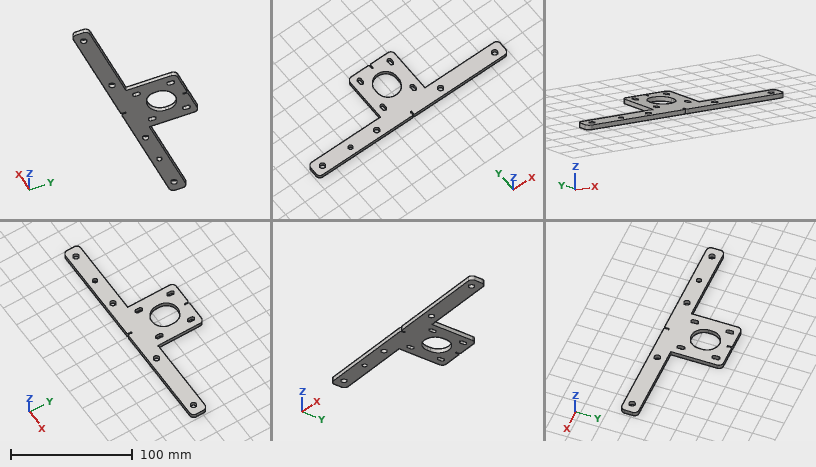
import cadquery as cq

thickness = 4.0
bar_length = 196.0
bar_width = 15.0
plate_depth = 60.0
tab_width = 46.0
corner_radius = 4.0

hole_line_y = 7.0
mount_hole_diameter = 5.1
inner_hole_x = 33.0
outer_hole_x = 89.0
pilot_hole_diameter = 4.1
pilot_hole_x = -60.0

motor_y = 36.5
slide_travel = 3.0
motor_opening_width = 22.0
motor_screw_spacing = 31.0
screw_slot_width = 3.5

notch_width = 1.0
notch_length = 4.0
notch_mouth_radius = 1.0


def make_plate():
    """T-shaped plate with rounded outer corners; the front edge of the bar lies on Y = 0."""
    bar = cq.Workplane("XY").rect(bar_length, bar_width).extrude(thickness)
    bar = bar.translate((0, bar_width / 2, 0)).edges("|Z").fillet(corner_radius)
    tab = cq.Workplane("XY").rect(tab_width, plate_depth).extrude(thickness)
    tab = tab.translate((0, plate_depth / 2, 0)).edges("|Z and >Y").fillet(corner_radius)
    return bar.union(tab)


def cut_bar_holes(plate):
    """Four mounting holes in mirrored pairs and one smaller pilot hole."""
    mount_points = [(side * x, hole_line_y) for side in (-1, 1) for x in (inner_hole_x, outer_hole_x)]
    mount_holes = cq.Workplane("XY").pushPoints(mount_points).circle(mount_hole_diameter / 2)
    pilot_hole = cq.Workplane("XY").center(pilot_hole_x, hole_line_y).circle(pilot_hole_diameter / 2)
    return plate.cut(mount_holes.extrude(thickness)).cut(pilot_hole.extrude(thickness))


def sliding_slot(points, width):
    """Through slots along Y at the given points, as long as a hole of this width plus the travel."""
    slots = cq.Workplane("XY").pushPoints(points).slot2D(width + slide_travel, width, 90)
    return slots.extrude(thickness)


def cut_motor_mount(plate):
    """Central motor opening and the four screw slots around it."""
    offset = motor_screw_spacing / 2
    screw_points = [(x, motor_y + y) for x in (-offset, offset) for y in (-offset, offset)]
    plate = plate.cut(sliding_slot([(0, motor_y)], motor_opening_width))
    return plate.cut(sliding_slot(screw_points, screw_slot_width))


def cut_notch(plate, edge_y):
    """Open-ended notch across the plate edge at edge_y, with rounded mouth corners."""
    notch = cq.Workplane("XY").center(0, edge_y).rect(notch_width, 2 * notch_length).extrude(thickness)
    plate = plate.cut(notch)
    mouth = cq.selectors.BoxSelector(
        (-notch_width, edge_y - notch_width, 0),
        (notch_width, edge_y + notch_width, thickness),
    )
    return plate.edges("|Z").edges(mouth).fillet(notch_mouth_radius)


result = make_plate()
result = cut_bar_holes(result)
result = cut_motor_mount(result)
for notch_edge_y in (0, plate_depth):
    result = cut_notch(result, notch_edge_y)